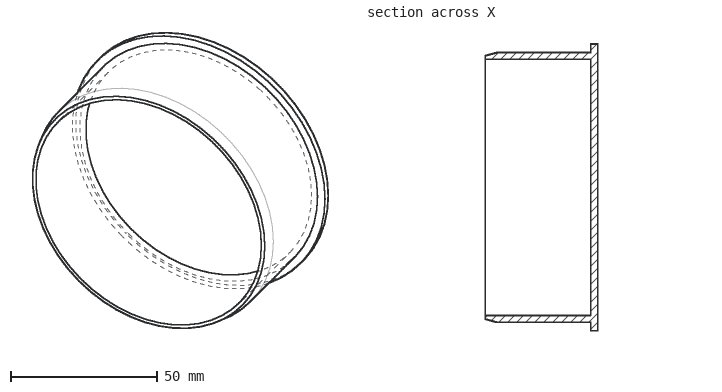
import math

import cadquery as cq

flange_diameter = 98.0
body_diameter = 92.2
bore_diameter = 87.4
overall_length = 38.4
flange_thickness = 2.4
floor_thickness = 2.4
taper_length = 4.0
taper_angle = 15.0

flange_radius = flange_diameter / 2
body_radius = body_diameter / 2
bore_radius = bore_diameter / 2
rim_radius = body_radius - taper_length * math.tan(math.radians(taper_angle))

rim_y = -overall_length
taper_start_y = rim_y + taper_length


def cap_profile():
    """Half section in the XY plane: X is the radius, Y the cap axis."""
    return (
        cq.Workplane("XY")
        .moveTo(0, 0)
        .lineTo(flange_radius, 0)
        .lineTo(flange_radius, -flange_thickness)
        .lineTo(body_radius, -flange_thickness)
        .lineTo(body_radius, taper_start_y)
        .lineTo(rim_radius, rim_y)
        .lineTo(bore_radius, rim_y)
        .lineTo(bore_radius, -floor_thickness)
        .lineTo(0, -floor_thickness)
        .close()
    )


result = cap_profile().revolve(360, (0, 0, 0), (0, 1, 0))